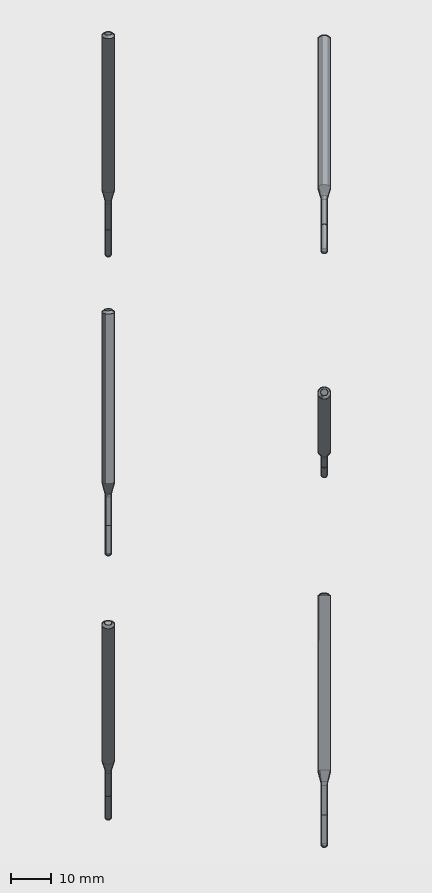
import cadquery as cq
import math


total_length = 63.5
shank_radius = 3.175 / 2

head_radius = 1.5875 / 2
head_length = 8.0

neck_radius = 0.75
neck_top_z = 15.35
cone_top_z = 19.1
cone_half_angle = math.radians(14.5)

chamfer_width = 0.7
chamfer_height = 0.6

cone_rise = cone_top_z - neck_top_z
cone_run = shank_radius - neck_radius
blend_tangent = cone_rise - cone_run / math.tan(cone_half_angle)
blend_radius = blend_tangent / math.tan(cone_half_angle / 2)


def blend_point(angle):
    """Point on the blend arc where its slope from the axis equals the angle."""
    radius = neck_radius + blend_radius * (1 - math.cos(angle))
    return radius, neck_top_z + blend_radius * math.sin(angle)


def make_cutting_head():
    """Cylinder with a full hemispherical tip."""
    ball_mid = math.radians(45)
    arc_mid = (head_radius * math.sin(ball_mid), head_radius * (1 - math.cos(ball_mid)))
    profile = (
        cq.Workplane("XZ")
        .moveTo(0, 0)
        .threePointArc(arc_mid, (head_radius, head_radius))
        .lineTo(head_radius, head_length)
        .lineTo(0, head_length)
        .close()
    )
    return profile.revolve(360, (0, 0, 0), (0, 1, 0))


def make_shank():
    """Neck, blended cone and chamfered shank above the cutting head."""
    profile = (
        cq.Workplane("XZ")
        .moveTo(0, head_length)
        .lineTo(neck_radius, head_length)
        .lineTo(neck_radius, neck_top_z)
        .threePointArc(blend_point(cone_half_angle / 2), blend_point(cone_half_angle))
        .lineTo(shank_radius, cone_top_z)
        .lineTo(shank_radius, total_length - chamfer_height)
        .lineTo(shank_radius - chamfer_width, total_length)
        .lineTo(0, total_length)
        .close()
    )
    return profile.revolve(360, (0, 0, 0), (0, 1, 0))


cutting_head = make_cutting_head()
shank = make_shank()

result = cq.Compound.makeCompound([cutting_head.val(), shank.val()])